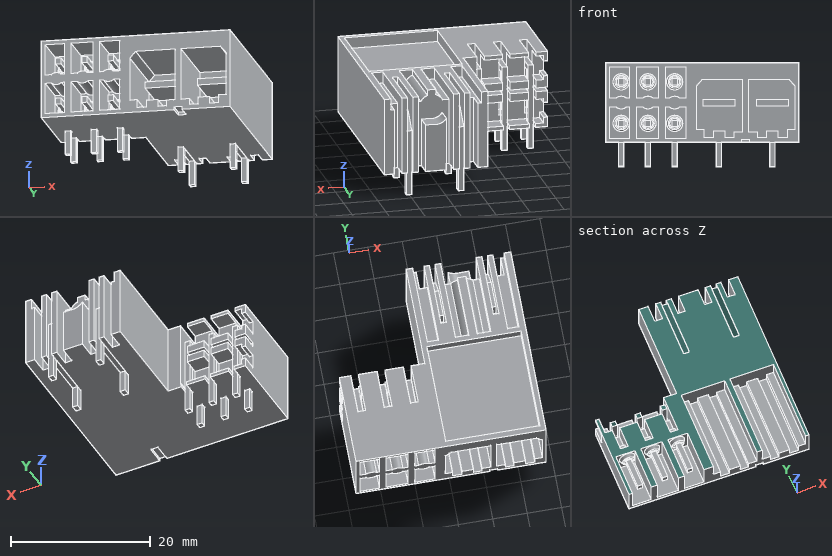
import cadquery as cq
import math


HOUSING_WIDTH = 27.65
HOUSING_LENGTH = 28.3
HOUSING_HEIGHT = 11.4
MID_HEIGHT = HOUSING_HEIGHT / 2
SIGNAL_LENGTH = 13.33
POWER_LEFT = 12.42
POWER_CENTER = (POWER_LEFT + HOUSING_WIDTH) / 2
OUTER_WALL = 0.6
TAIL_LENGTH = 3.5

SIGNAL_PITCH = 3.82
FIRST_PIN_X = 2.24
SIGNAL_PIN_X = [FIRST_PIN_X + column * SIGNAL_PITCH for column in range(3)]
PIN_ROW_OFFSET = 2.97
PIN_WIDTH = 0.8
PIN_HEIGHT = 0.88
PIN_TIP_Y = 1.33
SIGNAL_TAIL_THICKNESS = 0.8
UPPER_TAIL_REAR = 12.17
LOWER_TAIL_REAR = 8.4
LOWER_TAIL_LENGTH = 3.4

CELL_SIDES = [(OUTER_WALL, 3.42), (4.4, 7.58), (8.55, 11.5)]
CELL_MID_OFFSET = 0.62
CELL_DEPTH = 6.5
KEY_RIB_WIDTH = 1.53
KEY_RIB_RISE = 0.28
PIN_BOSS_RADIUS = 1.15
PIN_BOSS_KNEE_RADIUS = 0.9
PIN_BOSS_TIP_RADIUS = 0.7
PIN_BOSS_KNEE_HEIGHT = 0.55
PIN_BOSS_HEIGHT = 0.65

SIGNAL_SLOT_WIDTH = 1.1
SIGNAL_SLOT_LENGTH = 5.72
TAIL_PASSAGE_WIDTH = 0.88
NOTCH_LENGTH = 2.43
BOTTOM_RAIL = 1.45
WIDE_NOTCH_HEIGHT = 2.24
MIDDLE_NOTCH_HEIGHT = 0.57
CHAMBER_TOP = 4.25
NOTCH_RIGHT = SIGNAL_PIN_X[-1] + SIGNAL_SLOT_WIDTH / 2

CAVITY_DEPTH = 12.74
CAVITY_INNER = 0.42
CAVITY_OUTER = 7.05
CAVITY_TOP = 9.03
CAVITY_CHAMFER_X = 0.85
CAVITY_CHAMFER_Z = 0.95
OUTER_SHELF = 1.85
INNER_SHELF = 1.53
RIDGE_TOP = 1.67
GROOVE_FLOOR = 0.68
INNER_GROOVE = (1.7, 2.95)
OUTER_GROOVE = (4.6, 5.97)

BLADE_OFFSET = 3.82
BLADE_WIDTH = 4.55
BLADE_BOTTOM = 5.2
BLADE_TOP = 6.15
BLADE_TIP_Y = 5.95
PLATE_THICKNESS = 0.8
PLATE_FRONT = 19.13
PLATE_STEP = 21.55
PLATE_REAR = 27.73
PLATE_TOP = 8.5
PLATE_CHAMFER = 2.32
POWER_TAIL_WIDTH = 1.02

RECESS_FLOOR = 9.74
RECESS_HALF_WIDTH = 6.85
RECESS_FRONT = 0.82
RECESS_REAR = 15.85
REAR_SLOT_FRONT = 16.58
REAR_STEP = 25.67
OUTER_SLOT_INNER = 5.0
OUTER_SLOT_OUTER = 6.65
OUTER_GAP_OUTER = 6.15
CENTER_SLOT_HALF = 2.58
POST_HALF = 0.62
SADDLE_HALF = 1.6
SADDLE_RADIUS = 1.85
SADDLE_AXIS_Z = RECESS_FLOOR - math.sqrt(SADDLE_RADIUS**2 - SADDLE_HALF**2)
TONGUE_HALF = 1.53
TROUGH_RIGHT = 0.42
BOTTOM_GROOVE_WIDTH = 1.13
BOTTOM_GROOVE_DEPTH = 0.42
BOTTOM_GROOVE_LENGTH = 2.83

FULL_HEIGHT = (0, HOUSING_HEIGHT)
PIN_ROWS = [MID_HEIGHT + side * PIN_ROW_OFFSET for side in (-1, 1)]
SIGNAL_SLOT_FRONT = SIGNAL_LENGTH - SIGNAL_SLOT_LENGTH


def block(x, y, z):
    """Box from (low, high) pairs along the three axes."""
    size = (x[1] - x[0], y[1] - y[0], z[1] - z[0])
    return cq.Workplane("XY").box(*size, centered=False).translate((x[0], y[0], z[0]))


def centered_block(center, width, y, z):
    """Box given by its middle and width along X."""
    return block((center - width / 2, center + width / 2), y, z)


def along_y(outline, y):
    """Extrude a closed outline in the XZ plane from y[0] to y[1]."""
    return outline.extrude(y[0] - y[1]).translate((0, y[0], 0))


def xz_polygon(points):
    """Closed outline in the XZ plane."""
    return cq.Workplane("XZ").polyline(points).close()


def signal_cell(x, left, right, side):
    """Cell above (side 1) or below (side -1) mid height, without its key rib and pin boss."""
    near = MID_HEIGHT + side * CELL_MID_OFFSET
    far = MID_HEIGHT + side * (MID_HEIGHT - OUTER_WALL)
    cell = block((left, right), (0, CELL_DEPTH), (min(near, far), max(near, far)))
    rib_half = KEY_RIB_WIDTH / 2
    rib = (
        cq.Workplane("XZ")
        .moveTo(x - rib_half, near)
        .threePointArc((x, near + side * KEY_RIB_RISE), (x + rib_half, near))
        .close()
    )
    return cell.cut(along_y(rib, (0, CELL_DEPTH))).cut(pin_boss(x, side))


def pin_boss(x, side):
    """Boss with two conical bands around a pin at the back of its cell."""
    return (
        cq.Workplane("XY")
        .polyline(
            [
                (0, 0),
                (PIN_BOSS_RADIUS, 0),
                (PIN_BOSS_KNEE_RADIUS, -PIN_BOSS_KNEE_HEIGHT),
                (PIN_BOSS_TIP_RADIUS, -PIN_BOSS_HEIGHT),
                (0, -PIN_BOSS_HEIGHT),
            ]
        )
        .close()
        .revolve(360, (0, 0, 0), (0, 1, 0))
        .translate((x, CELL_DEPTH, MID_HEIGHT + side * PIN_ROW_OFFSET))
    )


def signal_slot(x):
    """Slot behind a pin column, narrowed to two tail passages through the bottom rail."""
    slot = centered_block(
        x, SIGNAL_SLOT_WIDTH, (SIGNAL_SLOT_FRONT, SIGNAL_LENGTH), (BOTTOM_RAIL, HOUSING_HEIGHT)
    )
    front_passage = (SIGNAL_SLOT_FRONT, LOWER_TAIL_REAR)
    rear_passage = (UPPER_TAIL_REAR - SIGNAL_TAIL_THICKNESS, SIGNAL_LENGTH)
    for passage in (front_passage, rear_passage):
        slot = slot.union(centered_block(x, TAIL_PASSAGE_WIDTH, passage, (0, BOTTOM_RAIL)))
    return slot


def cross_notches():
    """Notches through the outer wall and teeth; the wide ones open into taller chambers inside."""
    across = (0, NOTCH_RIGHT)
    inside = (OUTER_WALL, NOTCH_RIGHT)
    y = (SIGNAL_LENGTH - NOTCH_LENGTH, SIGNAL_LENGTH)
    half_middle = MIDDLE_NOTCH_HEIGHT / 2
    lower = block(across, y, (BOTTOM_RAIL, BOTTOM_RAIL + WIDE_NOTCH_HEIGHT))
    lower = lower.union(block(inside, y, (OUTER_WALL, CHAMBER_TOP)))
    upper = lower.mirror("XY", (0, 0, MID_HEIGHT))
    middle = block(across, y, (MID_HEIGHT - half_middle, MID_HEIGHT + half_middle))
    return lower.union(upper).union(middle)


def pin_hole(x, z):
    """Square hole that holds a signal pin."""
    return centered_block(
        x, PIN_WIDTH, (PIN_TIP_Y, SIGNAL_SLOT_FRONT), (z - PIN_HEIGHT / 2, z + PIN_HEIGHT / 2)
    )


def power_cavity(side):
    """Cavity left (side -1) or right (side 1) of the power center."""
    offsets = [
        (CAVITY_INNER, CAVITY_TOP),
        (CAVITY_OUTER - CAVITY_CHAMFER_X, CAVITY_TOP),
        (CAVITY_OUTER, CAVITY_TOP - CAVITY_CHAMFER_Z),
        (CAVITY_OUTER, OUTER_SHELF),
        (OUTER_GROOVE[1], OUTER_SHELF),
        (OUTER_GROOVE[1], GROOVE_FLOOR),
        (OUTER_GROOVE[0], GROOVE_FLOOR),
        (OUTER_GROOVE[0], RIDGE_TOP),
        (INNER_GROOVE[1], RIDGE_TOP),
        (INNER_GROOVE[1], GROOVE_FLOOR),
        (INNER_GROOVE[0], GROOVE_FLOOR),
        (INNER_GROOVE[0], INNER_SHELF),
        (CAVITY_INNER, INNER_SHELF),
    ]
    points = [(POWER_CENTER + side * offset, z) for offset, z in offsets]
    return along_y(xz_polygon(points), (0, CAVITY_DEPTH))


def blade_openings(side):
    """Flat hole for a blade and the upright slot for its plate."""
    x = POWER_CENTER + side * BLADE_OFFSET
    hole = centered_block(x, BLADE_WIDTH, (BLADE_TIP_Y, PLATE_FRONT), (BLADE_BOTTOM, BLADE_TOP))
    return hole.union(centered_block(x, PLATE_THICKNESS, (PLATE_FRONT, HOUSING_LENGTH), FULL_HEIGHT))


def outer_rear_slot(side):
    """Shallow slot beside an outer wall, open to the bottom behind the rear step."""
    inner = POWER_CENTER + side * OUTER_SLOT_INNER
    outer = POWER_CENTER + side * OUTER_SLOT_OUTER
    gap = POWER_CENTER + side * OUTER_GAP_OUTER
    slot = block(
        (min(inner, outer), max(inner, outer)),
        (REAR_SLOT_FRONT, HOUSING_LENGTH),
        (RECESS_FLOOR, HOUSING_HEIGHT),
    )
    return slot.union(
        block((min(inner, gap), max(inner, gap)), (REAR_STEP, HOUSING_LENGTH), FULL_HEIGHT)
    )


def center_rear_slot():
    """Middle slot that leaves a post on a rounded saddle and, behind it, a troughed tongue."""
    shallow = centered_block(
        POWER_CENTER, 2 * CENTER_SLOT_HALF, (REAR_SLOT_FRONT, REAR_STEP), (RECESS_FLOOR, HOUSING_HEIGHT)
    )
    post = centered_block(POWER_CENTER, 2 * POST_HALF, (REAR_SLOT_FRONT, REAR_STEP), FULL_HEIGHT)
    saddle = cq.Workplane("XZ").center(POWER_CENTER, SADDLE_AXIS_Z).circle(SADDLE_RADIUS)
    shallow = shallow.cut(post).cut(along_y(saddle, (REAR_SLOT_FRONT, REAR_STEP)))
    rear = centered_block(
        POWER_CENTER, 2 * CENTER_SLOT_HALF, (REAR_STEP, HOUSING_LENGTH), FULL_HEIGHT
    )
    return shallow.union(rear.cut(troughed_tongue()))


def troughed_tongue():
    """Tongue whose top is a trough on the saddle axis, running out into a flat on the right."""
    left_z = SADDLE_AXIS_Z - math.sqrt(SADDLE_RADIUS**2 - TONGUE_HALF**2)
    flat_z = SADDLE_AXIS_Z - math.sqrt(SADDLE_RADIUS**2 - TROUGH_RIGHT**2)
    outline = (
        cq.Workplane("XZ")
        .moveTo(POWER_CENTER - TONGUE_HALF, 0)
        .lineTo(POWER_CENTER - TONGUE_HALF, left_z)
        .threePointArc(
            (POWER_CENTER, SADDLE_AXIS_Z - SADDLE_RADIUS), (POWER_CENTER + TROUGH_RIGHT, flat_z)
        )
        .lineTo(POWER_CENTER + TONGUE_HALF, flat_z)
        .lineTo(POWER_CENTER + TONGUE_HALF, 0)
        .close()
    )
    return along_y(outline, (REAR_STEP, HOUSING_LENGTH))


def make_housing():
    """L-shaped housing with all its cells, slots and recesses."""
    body = block((0, HOUSING_WIDTH), (0, SIGNAL_LENGTH), FULL_HEIGHT)
    body = body.union(block((POWER_LEFT, HOUSING_WIDTH), (0, HOUSING_LENGTH), FULL_HEIGHT))

    for x, (left, right) in zip(SIGNAL_PIN_X, CELL_SIDES):
        for side in (-1, 1):
            body = body.cut(signal_cell(x, left, right, side))
        for z in PIN_ROWS:
            body = body.cut(pin_hole(x, z))
        body = body.cut(signal_slot(x))
    body = body.cut(cross_notches())

    for side in (-1, 1):
        body = body.cut(power_cavity(side)).cut(blade_openings(side)).cut(outer_rear_slot(side))
    body = body.cut(center_rear_slot())

    top_recess = centered_block(
        POWER_CENTER,
        2 * RECESS_HALF_WIDTH,
        (RECESS_FRONT, RECESS_REAR),
        (RECESS_FLOOR, HOUSING_HEIGHT),
    )
    bottom_groove = centered_block(
        POWER_CENTER, BOTTOM_GROOVE_WIDTH, (0, BOTTOM_GROOVE_LENGTH), (0, BOTTOM_GROOVE_DEPTH)
    )
    return body.cut(top_recess).cut(bottom_groove)


def make_signal_pin(x, z, tail_rear, tail_length):
    """Square pin with its tail bent straight down."""
    top = z + PIN_HEIGHT / 2
    pin = centered_block(x, PIN_WIDTH, (PIN_TIP_Y, tail_rear), (z - PIN_HEIGHT / 2, top))
    tail = centered_block(
        x, PIN_WIDTH, (tail_rear - SIGNAL_TAIL_THICKNESS, tail_rear), (-tail_length, top)
    )
    return pin.union(tail)


def make_power_blade(x):
    """Flat blade on an upright plate with two tails."""
    plate = (
        cq.Workplane("YZ")
        .polyline(
            [
                (PLATE_FRONT, -TAIL_LENGTH),
                (PLATE_FRONT + POWER_TAIL_WIDTH, -TAIL_LENGTH),
                (PLATE_FRONT + POWER_TAIL_WIDTH, 0),
                (PLATE_REAR - POWER_TAIL_WIDTH, 0),
                (PLATE_REAR - POWER_TAIL_WIDTH, -TAIL_LENGTH),
                (PLATE_REAR, -TAIL_LENGTH),
                (PLATE_REAR, PLATE_TOP - PLATE_CHAMFER),
                (PLATE_REAR - PLATE_CHAMFER, PLATE_TOP),
                (PLATE_STEP, PLATE_TOP),
                (PLATE_STEP, BLADE_TOP),
                (PLATE_FRONT, BLADE_TOP),
            ]
        )
        .close()
        .extrude(PLATE_THICKNESS)
        .translate((x - PLATE_THICKNESS / 2, 0, 0))
    )
    blade = centered_block(x, BLADE_WIDTH, (BLADE_TIP_Y, PLATE_FRONT), (BLADE_BOTTOM, BLADE_TOP))
    return blade.union(plate)


housing = make_housing()

signal_pins = []
lower_z, upper_z = PIN_ROWS
for pin_x in SIGNAL_PIN_X:
    signal_pins.append(make_signal_pin(pin_x, lower_z, LOWER_TAIL_REAR, LOWER_TAIL_LENGTH))
    signal_pins.append(make_signal_pin(pin_x, upper_z, UPPER_TAIL_REAR, TAIL_LENGTH))

power_blades = [make_power_blade(POWER_CENTER + side * BLADE_OFFSET) for side in (-1, 1)]

bodies = [housing, *signal_pins, *power_blades]
result = cq.Compound.makeCompound([solid for body in bodies for solid in body.solids().vals()])